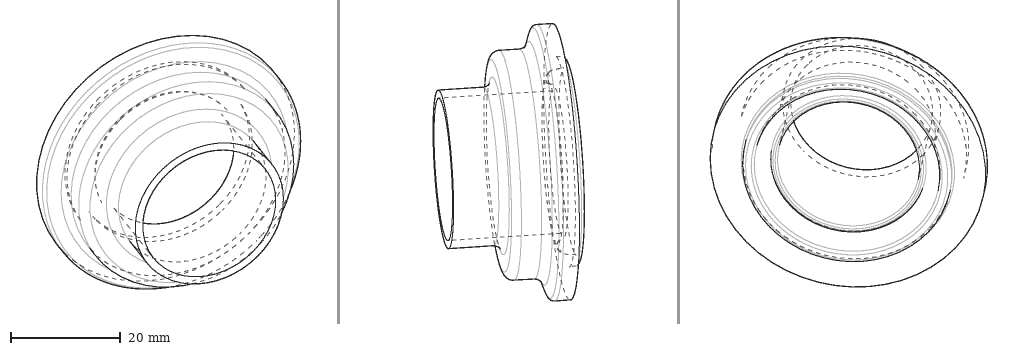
import cadquery as cq
import math

spigot_length = 1.8
step_face_x = 11.7
hub_end_x = 21.7

flange_radius = 50.5 / 2
spigot_radius = 38.3 / 2
body_radius = 42.0 / 2
hub_radius = 29.0 / 2
bore_radius = 26.0 / 2

flank_tilt = 20.0
flank_start_x = 3.5
flank_run = (flange_radius - body_radius) * math.tan(math.radians(flank_tilt))

flange_edge_round = 0.8
flank_root_round = 1.9
body_edge_round = 1.6
hub_root_round = 1.7
spigot_edge_round = 0.6
spigot_root_round = 0.4

groove_outer_radius = 17.0
groove_inner_radius = 14.25
groove_floor_radius = 15.2
groove_depth = 3.4
groove_edge_round = 0.5
lip_setback = 2.4
lip_outer_round = 0.45
lip_bore_round = 0.4

spigot_face_x = -spigot_length
lip_face_x = spigot_face_x + lip_setback


def circle_at(radius, x):
    """Select the circular edge of the given radius at station x."""
    tolerance = 0.01
    low = (x - tolerance, -radius - tolerance, -radius - tolerance)
    high = (x + tolerance, radius + tolerance, radius + tolerance)
    inside = cq.selectors.BoxSelector(low, high, boundingbox=True)
    smaller = radius - 2 * tolerance
    low = (x - tolerance, -smaller, -smaller)
    high = (x + tolerance, smaller, smaller)
    return inside - cq.selectors.BoxSelector(low, high, boundingbox=True)


def revolve_about_x(profile):
    return profile.close().revolve(360, (0, 0, 0), (1, 0, 0))


def make_body():
    """Stepped body with its front groove and lip, drawn as (x, radius)."""
    groove_points = [
        (lip_face_x + lip_outer_round, groove_inner_radius),
        (spigot_face_x + groove_depth, groove_floor_radius),
        (spigot_face_x + groove_edge_round, groove_outer_radius),
    ]
    groove_tangents = [(1, 0), (0, 1), (-1, 0)]
    profile = (
        cq.Workplane("XY")
        .moveTo(lip_face_x + lip_bore_round, bore_radius)
        .radiusArc((lip_face_x, bore_radius + lip_bore_round), lip_bore_round)
        .lineTo(lip_face_x, groove_inner_radius - lip_outer_round)
        .radiusArc(groove_points[0], lip_outer_round)
        .spline(groove_points[1:], tangents=groove_tangents, includeCurrent=True)
        .radiusArc((spigot_face_x, groove_outer_radius + groove_edge_round), groove_edge_round)
        .lineTo(spigot_face_x, spigot_radius)
        .lineTo(0, spigot_radius)
        .lineTo(0, flange_radius)
        .lineTo(flank_start_x, flange_radius)
        .lineTo(flank_start_x + flank_run, body_radius)
        .lineTo(step_face_x, body_radius)
        .lineTo(step_face_x, hub_radius)
        .lineTo(hub_end_x, hub_radius)
        .lineTo(hub_end_x, bore_radius)
    )
    return revolve_about_x(profile)


def round_edges(body):
    rounds = [
        (spigot_radius, spigot_face_x, spigot_edge_round),
        (spigot_radius, 0, spigot_root_round),
        (flange_radius, flank_start_x, flange_edge_round),
        (body_radius, flank_start_x + flank_run, flank_root_round),
        (body_radius, step_face_x, body_edge_round),
        (hub_radius, step_face_x, hub_root_round),
    ]
    for radius, x, size in rounds:
        body = body.edges(circle_at(radius, x)).fillet(size)
    return body


result = round_edges(make_body())